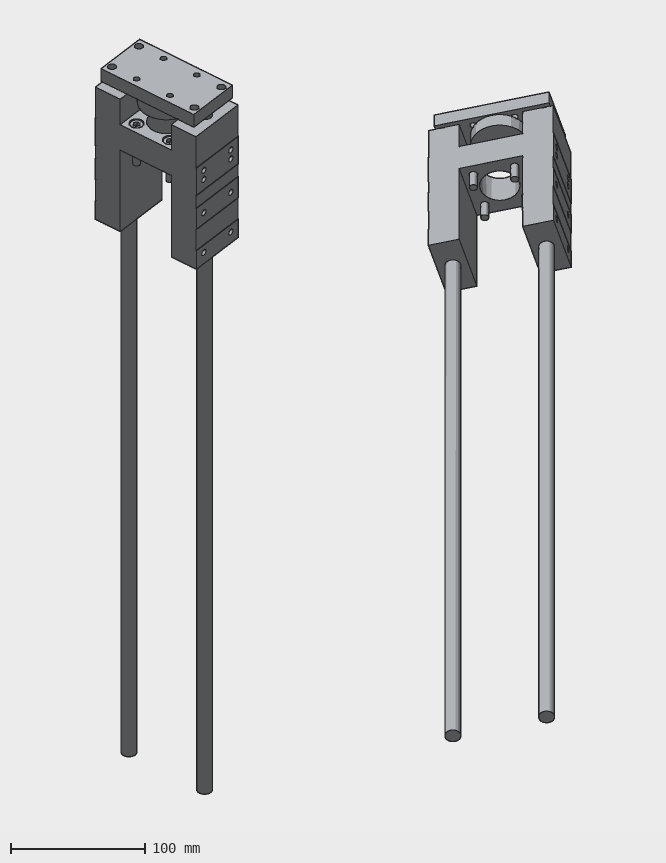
import cadquery as cq
import math

total_height = 655

housing_width = 97
housing_depth = 50
housing_height = 125
leg_width = 24
crossbar_thickness = 24
top_notch_depth = 24

plate_width = 89
plate_depth = 46
plate_thickness = 12
plate_gap = 6
corner_hole_spacing = 79
corner_hole_diameter = 6.6
rod_spacing = 72.5
rod_diameter = 12
disc_diameter = 44
disc_thickness = 11.5
stub_diameter = 12
stub_length = 8

hole_pitch = 32
tapped_hole_diameter = 4.92

pad_heights = [(0, 17.5), (37.5, 57.5), (69.5, 95.5)]
side_recess_depth = 0.3
side_hole_heights = [10.5, 48, 79.5, 88]
side_hole_depth = 12

bore_diameter = 30
screw_diameter = 6
screw_head_diameter = 10
screw_head_height = 6
screw_socket_width = 5
screw_socket_depth = 3
screw_protrusion = 14
screw_hole_diameter = 6.6
counterbore_diameter = 11
counterbore_depth = 6.8

gap_width = housing_width - 2 * leg_width
crossbar_top = housing_height - top_notch_depth
crossbar_bottom = crossbar_top - crossbar_thickness
plate_bottom = housing_height + plate_gap
rod_length = total_height - plate_thickness
counterbore_floor = crossbar_top - counterbore_depth
grid_offsets = (-hole_pitch / 2, hole_pitch / 2)
grid_points = [(x, y) for x in grid_offsets for y in grid_offsets]
corner_offsets = (-corner_hole_spacing / 2, corner_hole_spacing / 2)
corner_points = [(x, y) for x in corner_offsets for y in grid_offsets]
rod_points = [(-rod_spacing / 2, 0), (rod_spacing / 2, 0)]


def block(width, depth, bottom, top):
    """A box centred on the Z axis between two heights."""
    return (
        cq.Workplane("XY")
        .workplane(offset=bottom)
        .rect(width, depth)
        .extrude(top - bottom)
    )


def cylinders(points, diameter, bottom, top):
    """Upright cylinders at the given XY points between two heights."""
    return (
        cq.Workplane("XY")
        .workplane(offset=bottom)
        .pushPoints(points)
        .circle(diameter / 2)
        .extrude(top - bottom)
    )


def side_holes():
    """Blind tapped holes for both outer sides."""
    left = (
        cq.Workplane("YZ")
        .workplane(offset=-housing_width / 2)
        .pushPoints([(y, z) for y in grid_offsets for z in side_hole_heights])
        .circle(tapped_hole_diameter / 2)
        .extrude(side_hole_depth)
    )
    return left.union(left.mirror("YZ"))


def make_housing():
    """H-shaped block with side pads, rod holes, central bore and screw holes."""
    core_width = housing_width - 2 * side_recess_depth
    body = block(core_width, housing_depth, 0, housing_height)
    for pad_bottom, pad_top in pad_heights:
        body = body.union(block(housing_width, housing_depth, pad_bottom, pad_top))
    body = body.cut(block(gap_width, housing_depth, crossbar_top, housing_height))
    body = body.cut(block(gap_width, housing_depth, 0, crossbar_bottom))
    body = body.cut(side_holes())
    body = body.cut(cylinders(rod_points, rod_diameter, 0, housing_height))
    body = body.cut(cylinders([(0, 0)], bore_diameter, crossbar_bottom, crossbar_top))
    body = body.cut(cylinders(grid_points, screw_hole_diameter, crossbar_bottom, crossbar_top))
    return body.cut(cylinders(grid_points, counterbore_diameter, counterbore_floor, crossbar_top))


def make_yoke():
    """Plate with its guide rods, and the disc and stub under its middle."""
    plate_top = plate_bottom + plate_thickness
    disc_bottom = plate_bottom - disc_thickness
    body = block(plate_width, plate_depth, plate_bottom, plate_top)
    body = body.cut(cylinders(corner_points, corner_hole_diameter, plate_bottom, plate_top))
    body = body.union(cylinders(rod_points, rod_diameter, plate_bottom - rod_length, plate_bottom))
    body = body.union(cylinders([(0, 0)], disc_diameter, disc_bottom, plate_bottom))
    body = body.union(cylinders([(0, 0)], stub_diameter, disc_bottom - stub_length, disc_bottom))
    return body.cut(cylinders(grid_points, tapped_hole_diameter, plate_bottom, plate_top))


def make_screw(point):
    """Socket-head screw seated in a counterbore and reaching below the crossbar."""
    head_top = counterbore_floor + screw_head_height
    shank = cylinders([point], screw_diameter, crossbar_bottom - screw_protrusion, counterbore_floor)
    head = cylinders([point], screw_head_diameter, counterbore_floor, head_top)
    socket_corner_diameter = screw_socket_width / math.cos(math.radians(30))
    socket = (
        cq.Workplane("XY")
        .workplane(offset=head_top - screw_socket_depth)
        .center(*point)
        .polygon(6, socket_corner_diameter)
        .extrude(screw_socket_depth)
    )
    return shank.union(head).cut(socket)


housing = make_housing()
yoke = make_yoke()
screws = [make_screw(point) for point in grid_points]

result = cq.Compound.makeCompound([housing.val(), yoke.val(), *[screw.val() for screw in screws]])